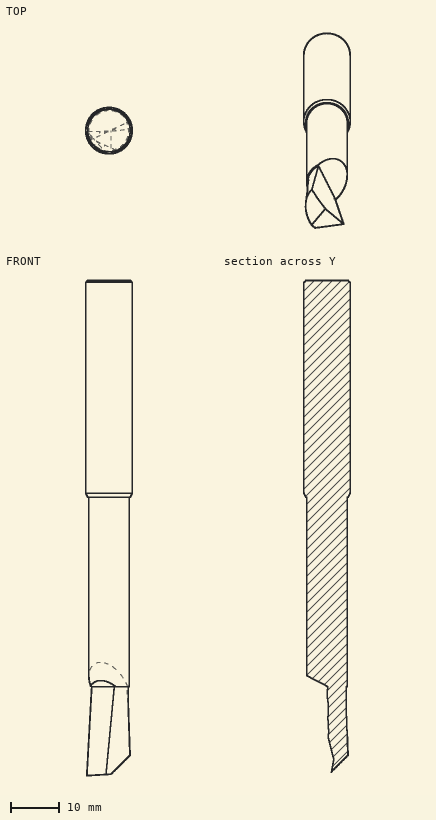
import cadquery as cq
import math

total_length = 101.6
shank_bottom = 57.1
head_top = 18.3

shank_radius = 4.8
shank_top_chamfer = 0.4
shoulder_chamfer_width = 0.4
shoulder_chamfer_height = 0.8
neck_radius = 4.2

head_top_radius = 4.0
head_tip_radius = 4.6
cutting_edge_angle = 206.0
rake_end_angle = 286.0
back_angle = 385.0
head_twist = 24.0

back_runout_slope = 1.2
rake_runout_slope = 1.1

corner_start_x = 0.4
corner_start_height = 0.3
corner_end_height = 4.5


def polar_point(radius, angle):
    """Point at an angle in degrees around the tool axis."""
    return (radius * math.cos(math.radians(angle)), radius * math.sin(math.radians(angle)))


def make_shank():
    length = total_length - shank_bottom
    inner_radius = shank_radius - shoulder_chamfer_width
    profile = [
        (0, 0),
        (inner_radius, 0),
        (shank_radius, shoulder_chamfer_height),
        (shank_radius, length - shank_top_chamfer),
        (shank_radius - shank_top_chamfer, length),
        (0, length),
    ]
    shank = cq.Workplane("XZ").polyline(profile).close().revolve(360, (0, 0), (0, 1))
    return shank.translate((0, 0, shank_bottom))


def runout_cutter(start_angle, end_angle, slope):
    """Wedge that slopes outwards and upwards from the head flat between two angles."""
    half_angle = math.radians((end_angle - start_angle) / 2)
    flat_distance = head_top_radius * math.cos(half_angle)
    outer_distance = 2 * neck_radius
    rise = slope * (outer_distance - flat_distance)
    wedge = (
        cq.Workplane("XZ")
        .moveTo(flat_distance, head_top)
        .lineTo(outer_distance, head_top)
        .lineTo(outer_distance, head_top + rise)
        .close()
        .extrude(2 * neck_radius, both=True)
    )
    return wedge.rotate((0, 0, 0), (0, 0, 1), (start_angle + end_angle) / 2)


def make_neck():
    neck = cq.Workplane("XY", origin=(0, 0, head_top)).circle(neck_radius).extrude(shank_bottom - head_top)
    neck = neck.cut(runout_cutter(back_angle - 360, cutting_edge_angle, back_runout_slope))
    return neck.cut(runout_cutter(cutting_edge_angle, rake_end_angle, rake_runout_slope))


def head_section(height, radius, twist):
    """Wire with a rake flat, a round side and a back flat."""
    cutting_edge = polar_point(radius, cutting_edge_angle - twist)
    rake_end = polar_point(radius, rake_end_angle - twist)
    round_middle = polar_point(radius, (rake_end_angle + back_angle) / 2 - twist)
    back = polar_point(radius, back_angle - twist)
    section = (
        cq.Workplane("XY", origin=(0, 0, height))
        .moveTo(*cutting_edge)
        .lineTo(*rake_end)
        .threePointArc(round_middle, back)
        .close()
    )
    return section.val()


def make_tip_cutter():
    """Removes the sloped corner and the clearance below the end face."""
    edge_x = polar_point(head_tip_radius, cutting_edge_angle - head_twist)[0]
    corner_slope = (corner_end_height - corner_start_height) / (head_tip_radius - corner_start_x)
    outer_x = 2 * head_tip_radius
    outer_height = corner_start_height + corner_slope * (outer_x - corner_start_x)
    return (
        cq.Workplane("XZ")
        .moveTo(edge_x, 0)
        .lineTo(corner_start_x, corner_start_height)
        .lineTo(outer_x, outer_height)
        .lineTo(outer_x, -head_tip_radius)
        .lineTo(edge_x, -head_tip_radius)
        .close()
        .extrude(2 * head_tip_radius, both=True)
    )


def make_head():
    tip = head_section(0, head_tip_radius, head_twist)
    top = head_section(head_top, head_top_radius, 0)
    head = cq.Workplane(cq.Solid.makeLoft([tip, top], True))
    return head.cut(make_tip_cutter())


result = make_shank().union(make_neck()).union(make_head())